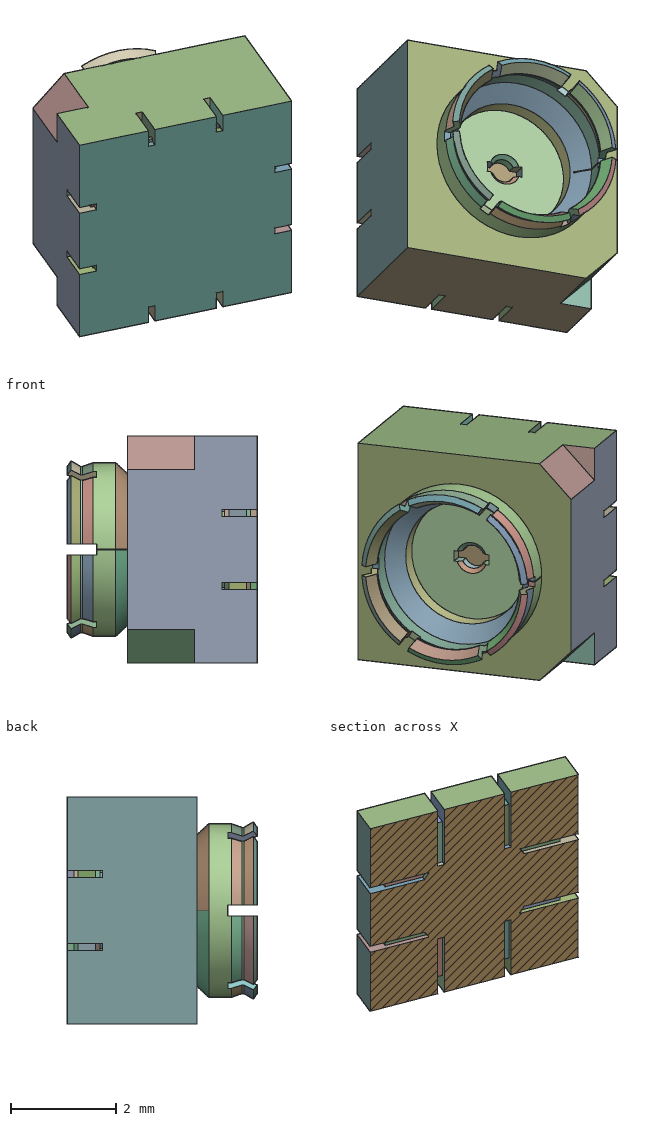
import cadquery as cq

side = 4.32
half_side = side / 2
overall_length = 3.61
block_front = 1.145
corner_chamfer = 0.64
corner_chamfer_length = 1.27

tip_radius = 1.575
lip_x = 0.075
lip_radius = 1.685
waist_start = 0.255
waist_end = 0.295
outer_waist_radius = 1.58
barrel_start = 0.492
barrel_end = 0.92
outer_barrel_radius = 1.65
root_radius = 1.445
inner_waist_radius = 1.447
inner_barrel_radius = 1.52
inner_barrel_end = 0.88
bore_radius = 1.21
bore_cone_end = inner_barrel_end + inner_barrel_radius - bore_radius
bore_floor = 1.52

finger_count = 6
finger_slot_width = 0.205
finger_slot_depth = 0.56
seam_width = 0.017

socket_radius = 0.23
socket_mouth_radius = 0.305
socket_lead_in = socket_mouth_radius - socket_radius
socket_depth = 0.26
socket_slot_length = 0.71
socket_slot_width = 0.205

edge_slot_offset = 0.69
edge_slot_width = 0.13
edge_slot_length = 0.67
edge_slot_floor = 1.815
end_pocket_length = 0.13
end_pocket_floor = 0.865
core_step_length = 0.048
core_front_radius = 1.125
core_rear_radius = 1.21
band_radius = 1.987
band_inset = 0.125
band_width = 0.078


def turned(profile):
    """Revolve a closed (x, radius) profile about the X axis."""
    return cq.Workplane("XY").polyline(profile).close().revolve(360, (0, 0, 0), (1, 0, 0))


def box(x_start, x_end, y_start, y_end, width, z_centre=0.0):
    """Box given by its X and Y limits and its width about a Z position."""
    return (
        cq.Workplane("XY")
        .box(x_end - x_start, y_end - y_start, width)
        .translate(((x_start + x_end) / 2, (y_start + y_end) / 2, z_centre))
    )


def disc(x_start, x_end, radius):
    """Cylinder on the X axis."""
    return cq.Workplane("YZ", origin=(x_start, 0, 0)).circle(radius).extrude(x_end - x_start)


def around_x(shape, angle):
    return shape.rotate((0, 0, 0), (1, 0, 0), angle)


def make_block():
    """Square block with the two -Y corners chamfered over the front stretch."""
    block = box(block_front, overall_length, -half_side, half_side, side)
    for z_sign in (-1, 1):
        corner = (
            cq.Workplane("YZ", origin=(block_front, 0, 0))
            .polyline([
                (-half_side, z_sign * half_side),
                (-half_side + corner_chamfer, z_sign * half_side),
                (-half_side, z_sign * (half_side - corner_chamfer)),
            ])
            .close()
            .extrude(corner_chamfer_length)
        )
        block = block.cut(corner)
    return block


def make_collar_body():
    """Solid outer form of the collar, ending on the block face."""
    return turned([
        (0, 0),
        (0, tip_radius),
        (lip_x, lip_radius),
        (waist_start, outer_waist_radius),
        (waist_end, outer_waist_radius),
        (barrel_start, outer_barrel_radius),
        (barrel_end, outer_barrel_radius),
        (block_front, root_radius),
        (block_front, 0),
    ])


def make_bore():
    """Waisted mouth, barrel, cone and plain bore inside the collar."""
    return turned([
        (0, 0),
        (0, tip_radius),
        (waist_start, inner_waist_radius),
        (waist_end, inner_waist_radius),
        (barrel_start, inner_barrel_radius),
        (inner_barrel_end, inner_barrel_radius),
        (bore_cone_end, bore_radius),
        (bore_floor, bore_radius),
        (bore_floor, 0),
    ])


def make_socket():
    """Lead-in cone and blind hole, crossed by a slot along Y."""
    socket_end = bore_floor + socket_depth
    hole = turned([
        (bore_floor, 0),
        (bore_floor, socket_mouth_radius),
        (bore_floor + socket_lead_in, socket_radius),
        (socket_end, socket_radius),
        (socket_end, 0),
    ])
    half_length = socket_slot_length / 2
    return hole.union(box(bore_floor, socket_end, -half_length, half_length, socket_slot_width))


def make_edge_slot(z_centre, round_core):
    """Slot in the -Y side with a raised round band and a deeper pocket at its closed end."""
    slot_start = overall_length - edge_slot_length
    pocket_end = slot_start + end_pocket_length
    band_end = overall_length - band_inset
    slot = box(slot_start, overall_length, -half_side, -edge_slot_floor, edge_slot_width, z_centre)
    slot = slot.cut(disc(band_end - band_width, band_end, band_radius))
    pocket = box(slot_start, pocket_end, -half_side, -end_pocket_floor, edge_slot_width, z_centre)
    if round_core:
        step = slot_start + core_step_length
        pocket = pocket.cut(disc(slot_start, step, core_front_radius))
        pocket = pocket.cut(disc(step, pocket_end, core_rear_radius))
    return slot.union(pocket)


result = make_block().union(make_collar_body()).cut(make_bore()).cut(make_socket())

for index in range(finger_count):
    finger_slot = box(0, finger_slot_depth, -half_side, -bore_radius, finger_slot_width)
    result = result.cut(around_x(finger_slot, index * 360 / finger_count))
result = result.cut(box(0, block_front, -half_side, -bore_radius, seam_width))

for quarter_turn in range(4):
    for z_centre in (-edge_slot_offset, edge_slot_offset):
        edge_slot = make_edge_slot(z_centre, round_core=quarter_turn % 2 == 0)
        result = result.cut(around_x(edge_slot, quarter_turn * 90))